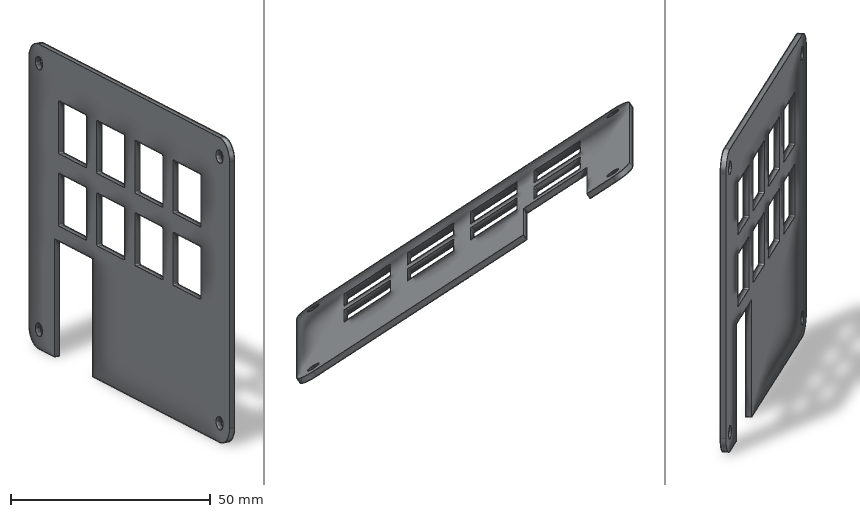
import cadquery as cq

width = 100.0
height = 80.0
thickness = 1.5
corner_radius = 5.0

hole_diameter = 3.4
hole_inset = corner_radius

switch_columns = 4
switch_rows = 2
switch_size = 13.9
switch_corner_radius = 0.4
switch_pitch = 19.0
first_switch_from_left = 21.8
first_switch_from_top = 19.1

notch_width = 19.0
notch_height = 31.0
notch_from_left = 12.8
notch_center_x = notch_from_left + notch_width / 2 - width / 2


def block(size_x, size_z, center_x=0, center_z=0):
    """Block of plate thickness, centred on the given X and Z."""
    return cq.Workplane("XY").box(size_x, thickness, size_z).translate((center_x, 0, center_z))


def make_plate():
    """Rounded plate with a screw hole in each corner."""
    plate = block(width, height).edges("|Y").fillet(corner_radius)
    return (
        plate.faces("<Y").workplane(centerOption="CenterOfBoundBox")
        .rect(width - 2 * hole_inset, height - 2 * hole_inset, forConstruction=True)
        .vertices()
        .hole(hole_diameter)
    )


def cut_switch_openings(plate):
    """Cut the grid of key-switch openings."""
    opening = block(switch_size, switch_size).edges("|Y").fillet(switch_corner_radius)
    for column in range(switch_columns):
        for row in range(switch_rows):
            x = first_switch_from_left - width / 2 + column * switch_pitch
            z = height / 2 - first_switch_from_top - row * switch_pitch
            plate = plate.cut(opening.translate((x, 0, z)))
    return plate


def cut_notch(plate):
    """Cut the rectangular notch up from the bottom edge."""
    notch_center_z = (notch_height - height) / 2
    return plate.cut(block(notch_width, notch_height, notch_center_x, notch_center_z))


result = cut_notch(cut_switch_openings(make_plate()))